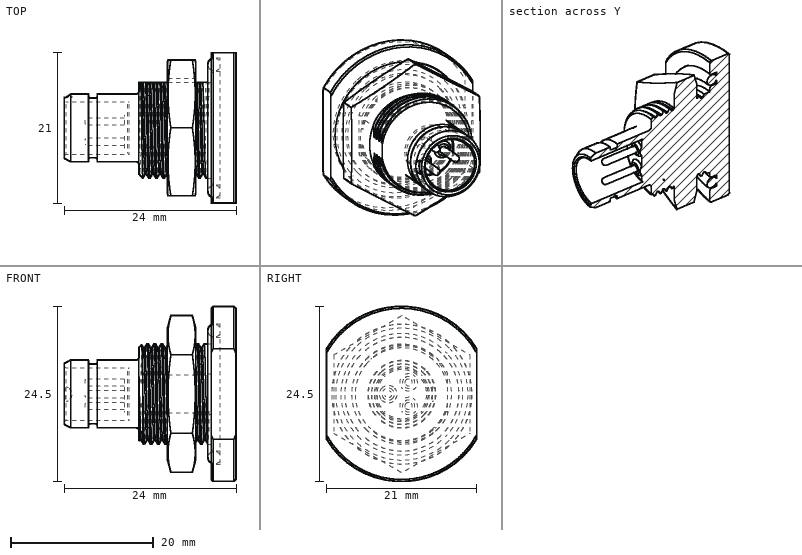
import cadquery as cq
import math


SHANK_START = 10.45
SEAL_FRONT = 20.05
FLANGE_FRONT = 20.55
TOTAL_LENGTH = 24.0

BARREL_RADIUS = 4.75
BARREL_NOSE_RADIUS = 4.26
BARREL_NOSE_LENGTH = 0.9
BARREL_ROOT_FILLET = 0.4
LATCH_START = 3.43
LATCH_END = 4.59
LATCH_RADIUS = 4.2
LATCH_FLOOR_FILLET = 0.16
LATCH_EDGE_CHAMFER = 0.08
KEY_DOT_RADIUS = 1.05
KEY_DOT_FLOOR = 4.28

BORE_RADIUS = 3.65
BORE_MOUTH_CHAMFER = 0.19
INSULATOR_FRONT = 8.8
INSULATOR_CHAMFER = 0.2
PIN_COUNT = 3
PIN_CIRCLE_RADIUS = 1.9
PIN_RADIUS = 0.5
PIN_FLAT_RADIUS = 0.13
PIN_TIP = 2.85
PIN_BOSS_BASE_RADIUS = 1.22
PIN_BOSS_TOP_RADIUS = 0.85
PIN_BOSS_HEIGHT = 0.4

THREAD_RADIUS = 7.0
THREAD_PITCH = 1.0
THREAD_DEPTH = 0.5
THREAD_ROOT_WIDTH = 0.22
THREAD_FLANK_ANGLE = 30.0
THREAD_START = 9.65
THREAD_END = 19.9
SHANK_CHAMFER = 0.5
SHANK_FLAT_Y = 6.4

NUT_START = 14.4
NUT_THICKNESS = 4.0
NUT_ACROSS_FLATS = 19.0
NUT_FACE_RADIUS = 9.12
NUT_CHAMFER_ANGLE = 15.0
NUT_BORE_RADIUS = 6.93

FLANGE_RADIUS = 12.25
FLANGE_WIDTH = 21.0
FLANGE_FRONT_CHAMFER = 0.25
FLANGE_REAR_CHAMFER = 0.3
GROOVE_INNER_RADIUS = 7.95
GROOVE_OUTER_RADIUS = 9.8
GROOVE_DEPTH = 1.2
GROOVE_MOUTH_FILLET = 0.36
RING_SECTION_RADIUS = 0.89
RING_CENTRE_RADIUS = 8.87


def revolve(profile):
    """Turn a closed (axial, radial) profile in the XY plane about the X axis."""
    return profile.close().revolve(360, (0, 0, 0), (1, 0, 0))


def cylinder(start, end, radius):
    return cq.Workplane("YZ").workplane(offset=start).circle(radius).extrude(end - start)


def make_barrel():
    """Barrel with a tapered nose, latch groove and a filleted root at the shank."""
    nose_x = BARREL_NOSE_LENGTH
    edge = LATCH_EDGE_CHAMFER
    fillet = LATCH_FLOOR_FILLET
    root = BARREL_ROOT_FILLET
    corner = math.sqrt(0.5)
    barrel = revolve(
        cq.Workplane("XY")
        .moveTo(0, 0)
        .lineTo(0, BARREL_NOSE_RADIUS)
        .lineTo(nose_x, BARREL_RADIUS)
        .lineTo(LATCH_START - edge, BARREL_RADIUS)
        .lineTo(LATCH_START, BARREL_RADIUS - edge)
        .lineTo(LATCH_START, LATCH_RADIUS + fillet)
        .radiusArc((LATCH_START + fillet, LATCH_RADIUS), -fillet)
        .lineTo(LATCH_END - fillet, LATCH_RADIUS)
        .radiusArc((LATCH_END, LATCH_RADIUS + fillet), -fillet)
        .lineTo(LATCH_END, BARREL_RADIUS)
        .lineTo(SHANK_START - root, BARREL_RADIUS)
        .threePointArc(
            (SHANK_START - root + root * corner, BARREL_RADIUS + root - root * corner),
            (SHANK_START, BARREL_RADIUS + root),
        )
        .lineTo(SHANK_START + SHANK_CHAMFER, BARREL_RADIUS + root)
        .lineTo(SHANK_START + SHANK_CHAMFER, 0)
    )
    key_dot = (
        cq.Workplane("XZ", origin=(0, KEY_DOT_FLOOR, 0))
        .circle(KEY_DOT_RADIUS)
        .extrude(-(BARREL_RADIUS - KEY_DOT_FLOOR) * 2)
    )
    return barrel.cut(key_dot)


def make_socket():
    """Bore in the barrel, down to the chamfered front edge of the insulator."""
    return revolve(
        cq.Workplane("XY")
        .moveTo(0, 0)
        .lineTo(0, BORE_RADIUS + BORE_MOUTH_CHAMFER)
        .lineTo(BORE_MOUTH_CHAMFER, BORE_RADIUS)
        .lineTo(INSULATOR_FRONT + INSULATOR_CHAMFER, BORE_RADIUS)
        .lineTo(INSULATOR_FRONT, BORE_RADIUS - INSULATOR_CHAMFER)
        .lineTo(INSULATOR_FRONT, 0)
    )


def make_pin():
    """Round-nosed contact pin on a conical boss, centred on the X axis."""
    nose = PIN_RADIUS - PIN_FLAT_RADIUS
    boss_top = INSULATOR_FRONT - PIN_BOSS_HEIGHT
    embedded_end = INSULATOR_FRONT + PIN_BOSS_HEIGHT
    return revolve(
        cq.Workplane("XY")
        .moveTo(PIN_TIP, 0)
        .lineTo(PIN_TIP, PIN_FLAT_RADIUS)
        .radiusArc((PIN_TIP + nose, PIN_RADIUS), nose)
        .lineTo(boss_top, PIN_RADIUS)
        .lineTo(boss_top, PIN_BOSS_TOP_RADIUS)
        .lineTo(INSULATOR_FRONT, PIN_BOSS_BASE_RADIUS)
        .lineTo(embedded_end, PIN_BOSS_BASE_RADIUS)
        .lineTo(embedded_end, 0)
    )


def make_thread_groove():
    """Right-handed helical groove about the X axis that runs out on the shank flat."""
    overshoot = 0.2
    floor_radius = THREAD_RADIUS - THREAD_DEPTH
    mouth_radius = THREAD_RADIUS + overshoot
    floor_half = THREAD_ROOT_WIDTH / 2
    flank_run = (mouth_radius - floor_radius) * math.tan(math.radians(THREAD_FLANK_ANGLE))
    mouth_half = floor_half + flank_run
    helix = cq.Workplane(
        cq.Wire.makeHelix(THREAD_PITCH, THREAD_END - THREAD_START, floor_radius)
    )
    groove = (
        cq.Workplane("XZ")
        .polyline([
            (floor_radius, -floor_half),
            (floor_radius, floor_half),
            (mouth_radius, mouth_half),
            (mouth_radius, -mouth_half),
        ])
        .close()
        .sweep(helix, isFrenet=True)
    )
    return groove.rotate((0, 0, 0), (0, 1, 0), 90).translate((THREAD_START, 0, 0))


def beyond_flat():
    """Block that holds everything on the +Y side of the shank flat."""
    length = FLANGE_FRONT - SHANK_START
    return (
        cq.Workplane("XY")
        .box(length, THREAD_RADIUS, 4 * THREAD_RADIUS, centered=(False, False, True))
        .translate((SHANK_START, SHANK_FLAT_Y, 0))
    )


def make_shank():
    shank = cylinder(SHANK_START, FLANGE_FRONT, THREAD_RADIUS)
    shank = shank.faces("<X").chamfer(SHANK_CHAMFER)
    return shank.cut(make_thread_groove()).cut(beyond_flat())


def make_nut():
    """Hexagon nut with both faces chamfered; it is open over the shank flat."""
    nut_end = NUT_START + NUT_THICKNESS
    corner_radius = NUT_ACROSS_FLATS / math.sqrt(3)
    chamfer_run = (corner_radius - NUT_FACE_RADIUS) * math.tan(math.radians(NUT_CHAMFER_ANGLE))
    hexagon = (
        cq.Workplane("YZ", origin=(NUT_START, 0, 0))
        .polygon(6, 2 * corner_radius)
        .extrude(NUT_THICKNESS)
        .rotate((0, 0, 0), (1, 0, 0), 90)
    )
    chamfer_envelope = revolve(
        cq.Workplane("XY")
        .moveTo(NUT_START, 0)
        .lineTo(NUT_START, NUT_FACE_RADIUS)
        .lineTo(NUT_START + chamfer_run, corner_radius)
        .lineTo(nut_end - chamfer_run, corner_radius)
        .lineTo(nut_end, NUT_FACE_RADIUS)
        .lineTo(nut_end, 0)
    )
    flat_gap = cylinder(NUT_START, nut_end, NUT_BORE_RADIUS).intersect(beyond_flat())
    return hexagon.intersect(chamfer_envelope).cut(flat_gap)


def make_seal_groove():
    """Ring-shaped cutter for the seal groove, flared at its mouth by two rounded edges."""
    fillet = GROOVE_MOUTH_FILLET
    floor_x = FLANGE_FRONT + GROOVE_DEPTH
    return revolve(
        cq.Workplane("XY")
        .moveTo(FLANGE_FRONT, GROOVE_INNER_RADIUS - fillet)
        .radiusArc((FLANGE_FRONT + fillet, GROOVE_INNER_RADIUS), fillet)
        .lineTo(floor_x, GROOVE_INNER_RADIUS)
        .lineTo(floor_x, GROOVE_OUTER_RADIUS)
        .lineTo(FLANGE_FRONT + fillet, GROOVE_OUTER_RADIUS)
        .radiusArc((FLANGE_FRONT, GROOVE_OUTER_RADIUS + fillet), fillet)
    )


def make_flange():
    """Round flange with two parallel flats and a seal groove in its front face."""
    flange = cylinder(FLANGE_FRONT, TOTAL_LENGTH, FLANGE_RADIUS)
    flange = flange.faces("<X").chamfer(FLANGE_FRONT_CHAMFER)
    flange = flange.faces(">X").chamfer(FLANGE_REAR_CHAMFER)
    flats = cq.Workplane("XY").box(2 * TOTAL_LENGTH, FLANGE_WIDTH, 4 * FLANGE_RADIUS)
    return flange.intersect(flats).cut(make_seal_groove())


def make_seal_ring():
    """O-ring pressed into the groove."""
    return (
        cq.Workplane("XY", origin=(SEAL_FRONT + RING_SECTION_RADIUS, 0, 0))
        .center(0, RING_CENTRE_RADIUS)
        .circle(RING_SECTION_RADIUS)
        .revolve(360, (0, -RING_CENTRE_RADIUS, 0), (1, -RING_CENTRE_RADIUS, 0))
    )


result = make_shank().union(make_nut())
result = result.union(make_flange()).union(make_seal_ring())
result = result.union(make_barrel()).cut(make_socket())
for pin_index in range(PIN_COUNT):
    pin = make_pin().translate((0, -PIN_CIRCLE_RADIUS, 0))
    result = result.union(pin.rotate((0, 0, 0), (1, 0, 0), pin_index * 360 / PIN_COUNT))